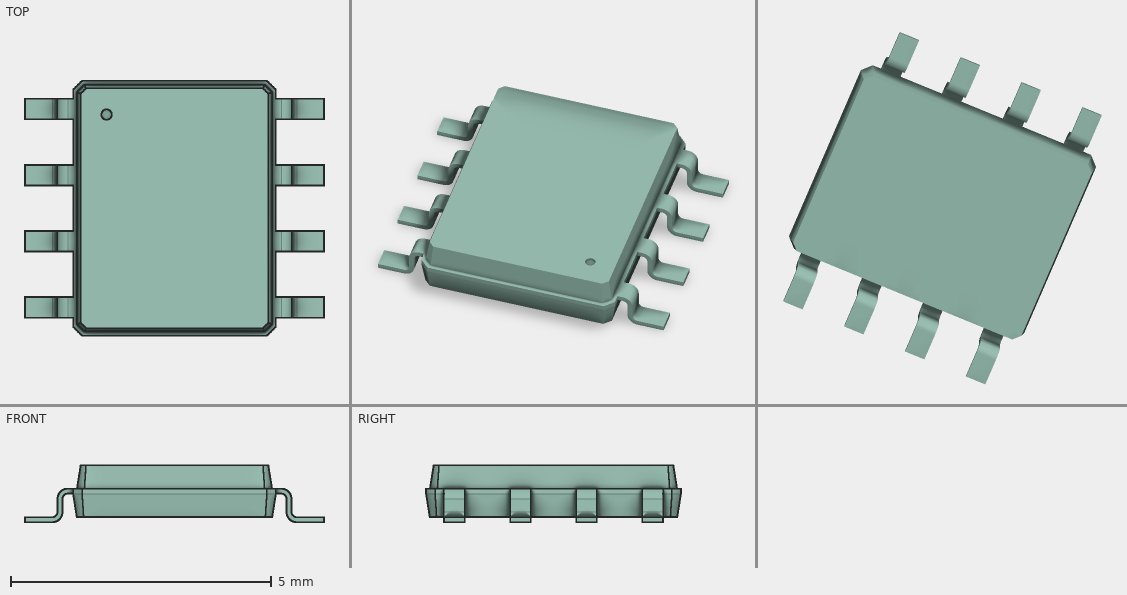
import cadquery as cq
import math


lead_span = 5.75
lead_width = 0.4
lead_thickness = 0.1
lead_pitch = 1.27
leads_per_side = 4
bend_inner_radius = 0.1
bend_outer_radius = bend_inner_radius + lead_thickness
foot_length = 0.525
lead_embed = 0.3

rim_length_x = 3.9
rim_length_y = 4.9
rim_thickness = lead_thickness
rim_corner = 0.175
standoff = 0.1
body_top = 1.1
half_height = (body_top - standoff - rim_thickness) / 2
rim_bottom = standoff + half_height
rim_top = rim_bottom + rim_thickness
draft_angle = 9
ledge = 0.075
upper_corner = 0.145

mark_diameter = 0.2
mark_depth = 0.05
mark_x = -1.305
mark_y = 1.8


def bevelled_plate(length_x, length_y, corner, base_z, height):
    """Straight-sided rectangular plate with bevelled vertical corners."""
    plate = cq.Workplane("XY", origin=(0, 0, base_z))
    plate = plate.rect(length_x, length_y).extrude(height)
    return plate.edges("|Z").chamfer(corner)


def drafted_half(length_x, length_y, corner, base_z, height):
    """Bevelled block narrowing away from its base; a negative height goes down."""
    half_x = length_x / 2
    half_y = length_y / 2
    outline = [
        (half_x - corner, -half_y),
        (half_x, -half_y + corner),
        (half_x, half_y - corner),
        (half_x - corner, half_y),
        (-half_x + corner, half_y),
        (-half_x, half_y - corner),
        (-half_x, -half_y + corner),
        (-half_x + corner, -half_y),
    ]
    base = cq.Workplane("XY", origin=(0, 0, base_z))
    return base.polyline(outline).close().extrude(height, taper=draft_angle)


def make_body():
    """Thin rim with a drafted half above and below it."""
    rim = bevelled_plate(rim_length_x, rim_length_y, rim_corner, rim_bottom, rim_thickness)
    lower = drafted_half(rim_length_x, rim_length_y, rim_corner, rim_bottom, -half_height)
    upper_x = rim_length_x - 2 * ledge
    upper_y = rim_length_y - 2 * ledge
    upper = drafted_half(upper_x, upper_y, upper_corner, rim_top, half_height)
    return rim.union(lower).union(upper)


def make_lead(center_y):
    """Gull-wing lead on the +X side: bent strip flush with the rim's thickness."""
    tip_x = lead_span / 2
    foot_bend_x = tip_x - foot_length
    riser_outer_x = foot_bend_x - bend_inner_radius
    riser_inner_x = riser_outer_x - lead_thickness
    shoulder_x = riser_outer_x - bend_outer_radius
    root_x = rim_length_x / 2 - lead_embed
    foot_bend_z = bend_outer_radius
    shoulder_z = rim_top - bend_outer_radius

    inner_diagonal = bend_inner_radius * math.sqrt(0.5)
    outer_diagonal = bend_outer_radius * math.sqrt(0.5)

    strip = (
        cq.Workplane("XZ", origin=(0, center_y + lead_width / 2, 0))
        .moveTo(root_x, rim_top)
        .lineTo(shoulder_x, rim_top)
        .threePointArc(
            (shoulder_x + outer_diagonal, shoulder_z + outer_diagonal),
            (riser_outer_x, shoulder_z),
        )
        .lineTo(riser_outer_x, foot_bend_z)
        .threePointArc(
            (foot_bend_x - inner_diagonal, foot_bend_z - inner_diagonal),
            (foot_bend_x, lead_thickness),
        )
        .lineTo(tip_x, lead_thickness)
        .lineTo(tip_x, 0)
        .lineTo(foot_bend_x, 0)
        .threePointArc(
            (foot_bend_x - outer_diagonal, foot_bend_z - outer_diagonal),
            (riser_inner_x, foot_bend_z),
        )
        .lineTo(riser_inner_x, shoulder_z)
        .threePointArc(
            (shoulder_x + inner_diagonal, shoulder_z + inner_diagonal),
            (shoulder_x, rim_bottom),
        )
        .lineTo(root_x, rim_bottom)
        .close()
    )
    return strip.extrude(lead_width)


def add_leads(body):
    """Fuse one row of leads to each X side of the body."""
    for index in range(leads_per_side):
        center_y = (index - (leads_per_side - 1) / 2) * lead_pitch
        lead = make_lead(center_y)
        body = body.union(lead).union(lead.mirror("YZ"))
    return body


def cut_mark(package):
    """Sink the round pin 1 mark into the top face."""
    mark = (
        cq.Workplane("XY", origin=(mark_x, mark_y, body_top - mark_depth))
        .circle(mark_diameter / 2)
        .extrude(mark_depth)
    )
    return package.cut(mark)


result = cut_mark(add_leads(make_body()))